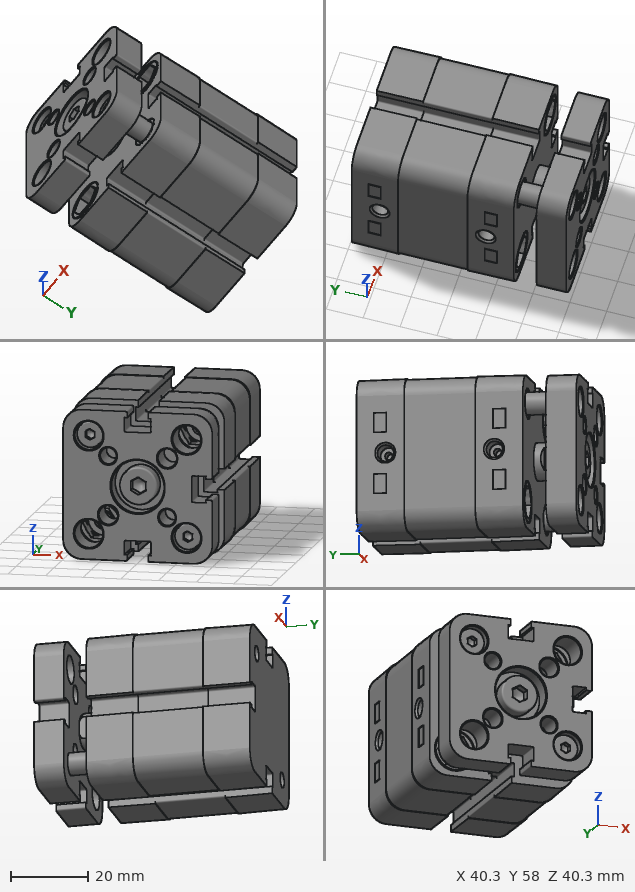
import cadquery as cq
import math


plate_length = 8.0
rod_gap = 6.05
cap_length = 12.6
total_length = 58.0
plate_back = plate_length
body_front = plate_back + rod_gap
tube_front = body_front + cap_length
tube_back = total_length - cap_length
tube_length = tube_back - tube_front

cap_width = 40.3
cap_end_width = 40.1
tube_width = 39.95
plate_width = 39.6
corner_radius = 5.0

slot_neck = 5.55
slot_overcut = 0.6
slot_width = 7.0
cap_slot_floor = 14.5
slot_floor = 14.4
slot_shoulder = 18.15
slot_floor_radius = 0.4
slot_lip_radius = 0.4
slot_angles = (0, 90, 180)

corner_offset = 13.0
guide_corners = ((-corner_offset, corner_offset), (corner_offset, -corner_offset))
screw_corners = ((corner_offset, corner_offset), (-corner_offset, -corner_offset))
guide_diameter = 6.0
guide_recess_diameter = 8.0
guide_recess_depth = 0.3

rod_diameter = 10.0
rod_flats = 8.0
flats_length = 3.35
flats_runout = 0.8
rod_seat_depth = 0.25
rod_end_radius = 1.45

centre_bore = 14.0
centre_bore_depth = 4.8
centre_head_recess = 0.8
centre_head = 10.0
centre_head_fillet = 0.5
centre_hex = 4.0
centre_hex_depth = 2.3

plate_corner_bore = 7.5
guide_bore_depth = 5.0
guide_head = 7.0
guide_head_fillet = 0.5
guide_head_recess = 1.55
guide_hex = 2.5
guide_hex_depth = 1.5
chamfer = 0.3
socket_tip_angle = 120

pin_offset = 7.85
pin_hole = 4.3
thread_hole = 5.0

screw_bore = 11.1
screw_face = 10.55
screw_hex = 8.0
screw_hex_depth = 3.15
screw_counterbore = 8.25
screw_counterbore_depth = 4.65
through_hole = 4.1
through_countersink = 5.0

port_inset = 7.6
port_hole = 4.3
port_mouth = 5.5
port_depth = 5.0
orifice = 2.0
orifice_depth = 8.1
panel_length = 3.3
panel_height = 5.1
panel_offset = 8.05
panel_depth = 0.25
back_panel_inset = 6.2
front_panel_inset = 6.25


def at(y, x=0, z=0):
    """Work plane facing +Y at the given point; its local axes are +X and -Z."""
    return cq.Workplane(cq.Plane(origin=(x, y, z), xDir=(1, 0, 0), normal=(0, 1, 0)))


def cylinder(diameter, y, length, x=0, z=0):
    return at(y, x, z).circle(diameter / 2).extrude(length)


def cone(front_diameter, back_diameter, y, length, x=0, z=0):
    base = cq.Vector(x, y, z)
    solid = cq.Solid.makeCone(front_diameter / 2, back_diameter / 2, length, base, cq.Vector(0, 1, 0))
    return cq.Workplane(solid)


def hexagon(flats, y, length, x=0, z=0, turn=30):
    """Hexagonal prism; by default two flats face +X and -X."""
    prism = at(y, x, z).polygon(6, flats / math.cos(math.pi / 6)).extrude(length)
    return prism.rotate((x, y, z), (x, y + 0.6, z), turn)


def hex_socket(flats, y, depth, x=0, z=0):
    """Hexagonal socket with a conical bottom, opening toward -Y."""
    across_corners = flats / math.cos(math.pi / 6)
    tip_depth = across_corners / 2 / math.tan(math.radians(socket_tip_angle / 2))
    tip = hexagon(flats, y + depth, tip_depth, x, z)
    tip = tip.intersect(cone(across_corners, 0, y + depth, tip_depth, x, z))
    return hexagon(flats, y, depth, x, z).union(tip)


def bore(diameter, depth, x=0, z=0):
    """Hole from the plate's front face with a 45 degree chamfer at its mouth."""
    mouth = cone(diameter + 2 * chamfer, diameter, 0, chamfer, x, z)
    return cylinder(diameter, 0, depth, x, z).union(mouth)


def rounded_square(width, y, length, taper=0):
    square = cq.Sketch().rect(width, width).vertices().fillet(corner_radius)
    return at(y).placeSketch(square).extrude(length, taper=taper)


def cut_slots(block, width, y, length, floor, rounded_lip):
    """Cut the three T-slots through a block of the given width."""
    outside = width / 2 + slot_overcut
    pocket_height = slot_shoulder - floor
    pocket = cq.Workplane("XY").box(slot_width, length, pocket_height, centered=(True, False, False))
    pocket = pocket.edges("|Y and <Z").fillet(slot_floor_radius).translate((0, y, floor))
    neck_height = outside - floor
    neck = cq.Workplane("XY").box(slot_neck, length, neck_height, centered=(True, False, False))
    slot = pocket.union(neck.translate((0, y, floor)))
    for angle in slot_angles:
        block = block.cut(slot.rotate((0, 0, 0), (0, 1, 0), angle))
    if rounded_lip:
        middle = y + length / 2
        for angle in slot_angles:
            for x in (-slot_neck / 2, slot_neck / 2):
                lip = cq.Vertex.makeVertex(x, middle, width / 2)
                lip = lip.rotate((0, 0, 0), (0, 1, 0), angle)
                nearest = cq.selectors.NearestToPointSelector(lip.toTuple())
                block = block.edges("|Y").edges(nearest).fillet(slot_lip_radius)
    return block


def make_cap():
    """End cap in the front position, drafted toward its free end."""
    draft = math.degrees(math.atan((cap_width - cap_end_width) / 2 / cap_length))
    cap = rounded_square(cap_width, 0, cap_length, draft)
    cap = cap.rotate((0, 0, 0), (0, 0, 1), 180).translate((0, tube_front, 0))
    return cut_slots(cap, cap_width, body_front, cap_length, cap_slot_floor, False)


def mirrored_to_back(cap):
    return cap.mirror("XZ").translate((0, body_front + total_length, 0))


def make_body():
    front_cap = make_cap()
    tube = rounded_square(tube_width, tube_front, tube_length)
    tube = cut_slots(tube, tube_width, tube_front, tube_length, slot_floor, True)
    body = tube.union(front_cap).union(mirrored_to_back(front_cap))
    for x, z in guide_corners:
        body = body.cut(cylinder(guide_recess_diameter, body_front, guide_recess_depth, x, z))
    for x, z in screw_corners:
        body = cut_body_screw(body, x, z)
    return cut_side_features(body)


def cut_body_screw(body, x, z):
    """Hollow hexagon socket screw in the front cap, with a hole right through the body."""
    chamfer_depth = (screw_bore - screw_face) / 2
    head_edge = cone(screw_face, screw_bore, body_front, chamfer_depth, x, z)
    groove = cylinder(screw_bore, body_front, chamfer_depth, x, z).cut(head_edge)
    body = body.cut(groove)

    body = body.cut(hexagon(screw_hex, body_front, screw_hex_depth, x, z, turn=0))
    body = body.cut(cylinder(screw_counterbore, body_front, screw_counterbore_depth, x, z))

    floor = body_front + screw_counterbore_depth
    sink_depth = (through_countersink - through_hole) / 2
    body = body.cut(cone(through_countersink, through_hole, floor, sink_depth, x, z))
    return body.cut(cylinder(through_hole, floor, total_length - floor, x, z))


def cut_side_features(body):
    """Air ports and the marking panels next to them on the -X side."""
    side = -cap_width / 2
    inward = cq.Vector(1, 0, 0)
    mouth_depth = (port_mouth - port_hole) / 2
    for y in (body_front + port_inset, total_length - port_inset):
        start = cq.Vector(side, y, 0)
        mouth = cq.Solid.makeCone(port_mouth / 2, port_hole / 2, mouth_depth, start, inward)
        hole = cq.Solid.makeCylinder(port_hole / 2, port_depth, start, inward)
        inner = cq.Solid.makeCylinder(orifice / 2, orifice_depth, start, inward)
        for cutter in (mouth, hole, inner):
            body = body.cut(cq.Workplane(cutter))
    for y in (body_front + front_panel_inset, total_length - back_panel_inset):
        for z in (-panel_offset, panel_offset):
            panel = cq.Workplane("XY").box(2 * panel_depth, panel_length, panel_height)
            body = body.cut(panel.translate((side, y, z)))
    return body


def make_rods():
    """Piston rod with wrench flats and two guide rods between body and plate."""
    rod = cylinder(rod_diameter, plate_back - rod_seat_depth, rod_gap + rod_seat_depth)
    rod = rod.faces("<Y").edges().fillet(rod_end_radius)
    half, flat = rod_diameter / 2, rod_flats / 2
    flats_end = plate_back + flats_length
    for side in (-1, 1):
        cutter = (
            cq.Workplane("XY")
            .moveTo(side * flat, plate_back)
            .lineTo(side * flat, flats_end)
            .lineTo(side * half, flats_end + flats_runout)
            .lineTo(side * half, plate_back)
            .close()
            .extrude(half, both=True)
        )
        rod = rod.cut(cutter)
    for x, z in guide_corners:
        rod = rod.union(cylinder(guide_diameter, plate_back, rod_gap + guide_recess_depth, x, z))
    return rod


def make_plate():
    plate = rounded_square(plate_width, 0, plate_length)
    plate = cut_slots(plate, plate_width, 0, plate_length, slot_floor, True)
    plate = plate.cut(bore(centre_bore, centre_bore_depth))
    for x, z in guide_corners:
        plate = plate.cut(bore(plate_corner_bore, guide_bore_depth, x, z))
    for x, z in screw_corners:
        plate = plate.cut(bore(plate_corner_bore, plate_length, x, z))
    for side in (-pin_offset, pin_offset):
        plate = plate.cut(bore(pin_hole, plate_length, side, -side))
        plate = plate.cut(bore(thread_hole, plate_length, side, side))
    return plate


def make_plate_screws():
    """Centre screw and the two guide rod screws, standing in their bores."""
    head = cylinder(centre_head, centre_head_recess, centre_bore_depth - centre_head_recess)
    head = head.faces("<Y").edges().fillet(centre_head_fillet)
    screws = head.cut(hex_socket(centre_hex, centre_head_recess, centre_hex_depth))
    for x, z in guide_corners:
        head = cylinder(guide_head, guide_head_recess, guide_bore_depth - guide_head_recess, x, z)
        head = head.faces("<Y").edges().fillet(guide_head_fillet)
        screws = screws.union(head.cut(hex_socket(guide_hex, guide_head_recess, guide_hex_depth, x, z)))
    return screws


result = make_body().union(make_rods()).union(make_plate()).union(make_plate_screws())